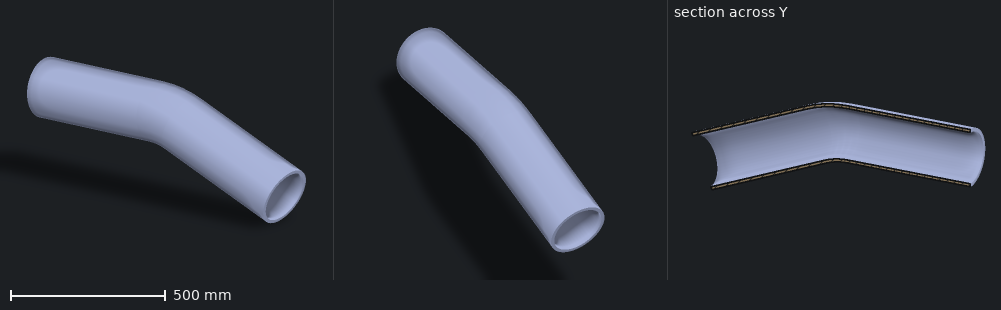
import cadquery as cq
import math

outer_diameter = 200.0
bore_diameter = 176.2
bend_angle = 22.0
bend_radius = 1.5 * outer_diameter
leg_to_corner = 512.07

tangent_length = bend_radius * math.tan(math.radians(bend_angle / 2))
straight_length = leg_to_corner - tangent_length


def bent_rod(diameter):
    """Solid rod that runs along +X, bends down towards -Z and runs on straight."""
    first_leg = cq.Workplane("YZ").circle(diameter / 2).extrude(straight_length)

    bend = (
        cq.Workplane("YZ", origin=(straight_length, 0, 0))
        .circle(diameter / 2)
        .revolve(bend_angle, (-1, -bend_radius), (1, -bend_radius))
    )

    pivot_start = (straight_length, -1, -bend_radius)
    pivot_end = (straight_length, 1, -bend_radius)
    second_leg = first_leg.translate((straight_length, 0, 0)).rotate(pivot_start, pivot_end, bend_angle)

    return first_leg.union(bend).union(second_leg)


result = bent_rod(outer_diameter).cut(bent_rod(bore_diameter))